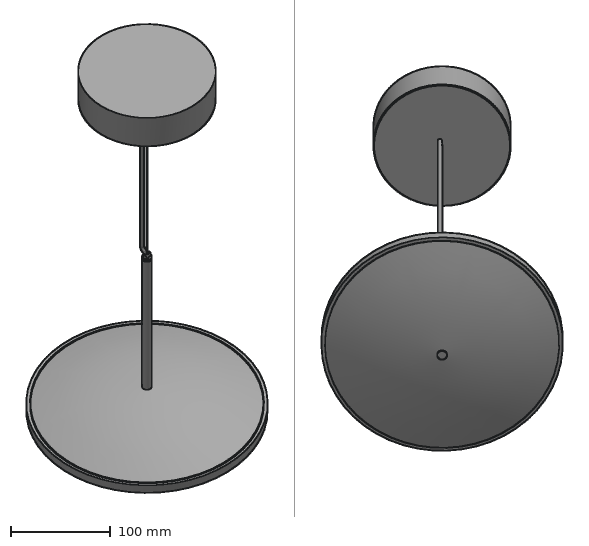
import cadquery as cq
import math

total_height = 489.47

canopy_radius = 69.0
canopy_height = 40.0
canopy_chamfer = 1.0
canopy_bottom = total_height - canopy_height

shade_radius = 121.0
dome_radius = 117.3
rim_height = 10.5
step_height = 1.0
groove_width = 0.7
groove_depth = 1.0
shade_height = 56.0
shade_middle = 29.5

stem_radius = 5.0
stem_top = 232.5

cap_height = 2.5
cap_top = stem_top + cap_height
lug_width = 4.4
lug_length = 7.4
lug_height = 4.5
lug_shoulder = cap_top + lug_height - lug_width / 2
wire_radius = 0.8
cord_radius = 2.2
cord_offset = 5.9
cord_bend_radius = 8.5
cord_slant = math.radians(45)
cord_bend_start = cap_top + 12.3


def make_canopy():
    drum = cq.Workplane("XY").workplane(offset=canopy_bottom).circle(canopy_radius).extrude(canopy_height)
    return drum.faces("<Z").chamfer(canopy_chamfer)


def make_stem():
    return cq.Workplane("XY").circle(stem_radius).extrude(stem_top)


def dome_arc_middle(edge_radius, crown_z, edge_z):
    rise = abs(crown_z - edge_z)
    sphere_radius = (edge_radius**2 + rise**2) / (2 * rise)
    half_way = edge_radius / 2
    drop = sphere_radius - math.sqrt(sphere_radius**2 - half_way**2)
    return half_way, crown_z + math.copysign(drop, edge_z - crown_z)


def make_shade():
    rim_top = shade_middle + rim_height / 2
    rim_bottom = shade_middle - rim_height / 2
    crown_top = shade_middle + shade_height / 2
    crown_bottom = shade_middle - shade_height / 2

    lower_edge = rim_bottom - step_height
    upper_radius = dome_radius - groove_width
    groove_floor = rim_top - groove_depth

    lower_middle = dome_arc_middle(dome_radius, crown_bottom, lower_edge)
    upper_middle = dome_arc_middle(upper_radius, crown_top, rim_top)
    profile = (
        cq.Workplane("YZ")
        .moveTo(0, crown_bottom)
        .threePointArc(lower_middle, (dome_radius, lower_edge))
        .lineTo(dome_radius, rim_bottom)
        .lineTo(shade_radius, rim_bottom)
        .lineTo(shade_radius, rim_top)
        .lineTo(dome_radius, rim_top)
        .lineTo(dome_radius, groove_floor)
        .lineTo(upper_radius, groove_floor)
        .lineTo(upper_radius, rim_top)
        .threePointArc(upper_middle, (0, crown_top))
        .close()
    )
    lens = profile.revolve(360, (0, 0, 0), (0, 1, 0))
    return lens.cut(make_stem())


def make_lug():
    return (
        cq.Workplane("XZ")
        .moveTo(-lug_width / 2, cap_top)
        .lineTo(-lug_width / 2, lug_shoulder)
        .threePointArc((0, cap_top + lug_height), (lug_width / 2, lug_shoulder))
        .lineTo(lug_width / 2, cap_top)
        .close()
        .extrude(lug_length / 2, both=True)
    )


def make_cord():
    bend_end_x = -cord_offset + cord_bend_radius * (1 - math.cos(cord_slant))
    bend_end_z = cord_bend_start - cord_bend_radius * math.sin(cord_slant)
    cord_end_z = bend_end_z + bend_end_x / math.tan(cord_slant)
    path = (
        cq.Workplane("XZ")
        .moveTo(-cord_offset, canopy_bottom)
        .lineTo(-cord_offset, cord_bend_start)
        .tangentArcPoint((bend_end_x, bend_end_z), relative=False)
        .lineTo(0, cord_end_z)
    )
    start = cq.Workplane("XY", origin=(-cord_offset, 0, canopy_bottom))
    return start.circle(cord_radius).sweep(path)


def make_suspension():
    cap = cq.Workplane("XY").workplane(offset=stem_top).circle(stem_radius).extrude(cap_height)
    wire_length = canopy_bottom - cap_top
    wire = cq.Workplane("XY").workplane(offset=cap_top).circle(wire_radius).extrude(wire_length)
    return cap.union(make_lug()).union(wire).union(make_cord())


canopy = make_canopy()
shade = make_shade()
stem = make_stem()
suspension = make_suspension()

bodies = [canopy, shade, stem, suspension]
result = cq.Compound.makeCompound([body.solids().val() for body in bodies])